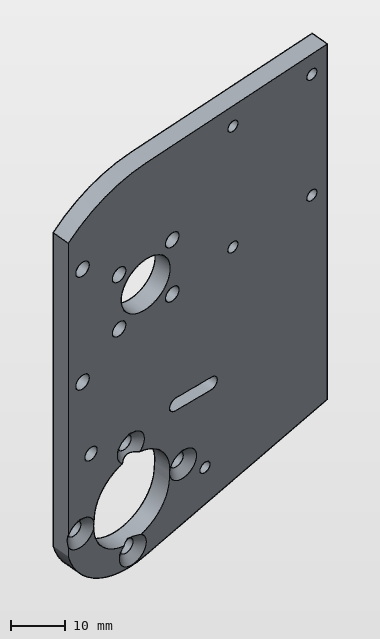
import cadquery as cq
import math

thickness = 4.0
depth = 65.5
height = 97.4
rear_bottom_z = 9.4

upper_y = 19.6
upper_bore_diameter = 12.4
top_radius = 30.0
upper_z = height - top_radius
upper_hole_pitch = 13.4

lower_y = 16.1
bottom_radius = 16.6
lower_z = bottom_radius
lower_bore_diameter = 19.1
lower_bore_length = 21.1
lower_bore_tilt = 4.0
lower_hole_circle_radius = 13.0
lower_hole_tilt = 1.1
countersink_diameter = 6.8
countersink_angle = 90.0

screw_diameter = 3.4
pivot_diameter = 3.1
small_diameter = 2.5
front_screw_points = [(3.6, 53.5), (3.6, 81.4)]
pivot_point = (5.7, 34.4)
lower_small_point = (34.6, 12.5)
rear_grid_center = (51.6, 77.4)
rear_grid_y_pitch = 20.0
rear_grid_z_pitch = 29.9

slot_center = (31.6, 32.5)
slot_length = 12.1
slot_width = 3.1
slot_tilt = -4.0


def profile():
    """Outline in the YZ plane with both front corners rounded."""
    top_front_z = upper_z + math.sqrt(top_radius**2 - upper_y**2)
    bottom_front_z = lower_z - math.sqrt(bottom_radius**2 - lower_y**2)

    dy = depth - lower_y
    dz = rear_bottom_z - lower_z
    tangent_angle = math.atan2(dz, dy) - math.acos(bottom_radius / math.hypot(dy, dz))
    front_angle = math.atan2(bottom_front_z - lower_z, -lower_y)
    bottom_mid_angle = (tangent_angle + front_angle) / 2
    top_mid_angle = (math.pi / 2 + math.atan2(top_front_z - upper_z, -upper_y)) / 2

    def on_bottom_arc(angle):
        return (lower_y + bottom_radius * math.cos(angle), lower_z + bottom_radius * math.sin(angle))

    top_mid = (
        upper_y + top_radius * math.cos(top_mid_angle),
        upper_z + top_radius * math.sin(top_mid_angle),
    )
    return (
        cq.Workplane("YZ")
        .moveTo(0, top_front_z)
        .threePointArc(top_mid, (upper_y, height))
        .lineTo(depth, height)
        .lineTo(depth, rear_bottom_z)
        .lineTo(*on_bottom_arc(tangent_angle))
        .threePointArc(on_bottom_arc(bottom_mid_angle), (0, bottom_front_z))
        .close()
    )


def drill(body, points, diameter):
    cutter = cq.Workplane("YZ").pushPoints(points).circle(diameter / 2).extrude(thickness)
    return body.cut(cutter)


def cut_slot(body, center, length, width, angle):
    cutter = cq.Workplane("YZ").center(*center).slot2D(length, width, angle).extrude(thickness)
    return body.cut(cutter)


def grid(center, y_pitch, z_pitch):
    """Four points at the corners of a rectangle."""
    return [
        (center[0] + side * y_pitch / 2, center[1] + level * z_pitch / 2)
        for side in (-1, 1)
        for level in (-1, 1)
    ]


result = profile().extrude(thickness)

result = drill(result, [(upper_y, upper_z)], upper_bore_diameter)
result = drill(result, grid((upper_y, upper_z), upper_hole_pitch, upper_hole_pitch), screw_diameter)

result = drill(result, front_screw_points, screw_diameter)
result = drill(result, [pivot_point], pivot_diameter)
result = drill(result, [lower_small_point], small_diameter)
result = drill(result, grid(rear_grid_center, rear_grid_y_pitch, rear_grid_z_pitch), small_diameter)

result = cut_slot(result, slot_center, slot_length, slot_width, slot_tilt)
result = cut_slot(
    result, (lower_y, lower_z), lower_bore_length, lower_bore_diameter, 90 - lower_bore_tilt
)

lower_screw_points = [
    (
        lower_y + lower_hole_circle_radius * math.cos(math.radians(lower_hole_tilt + 90 * i)),
        lower_z + lower_hole_circle_radius * math.sin(math.radians(lower_hole_tilt + 90 * i)),
    )
    for i in range(4)
]
result = (
    result.faces(">X")
    .workplane(origin=(thickness, 0, 0))
    .pushPoints(lower_screw_points)
    .cskHole(screw_diameter, countersink_diameter, countersink_angle)
)